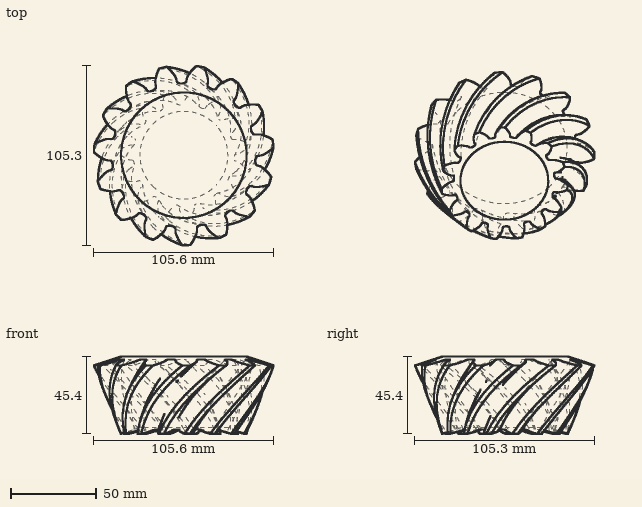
import cadquery as cq
import math

tooth_count = 15
height = 45.4
tip_radius = 52.9
root_radius = 42.3
flat_radius = 36.9
tip_height = 40.1
small_end_scale = 0.7
spiral_angle = 46.6
spiral_bow = 2.0
gap_direction = 91.8

floor_half_width = 1.5
fillet_middle = (2.5, 42.9)
flank_start = (3.0, 44.3)
flank_middle = (5.0, 48.3)
flank_end = (9.1, 52.5)
mouth = (11.6, 54.3)

section_count = 7
overrun = 0.05

cone_drop = height - tip_height
cone_angle = math.atan2(cone_drop, tip_radius - flat_radius)
apex_height = -tip_height * small_end_scale / (1 - small_end_scale)
root_height = height - (root_radius - flat_radius) * math.tan(cone_angle)


def shrink(radius, z):
    """Move an (r, z) point of the large end to the small end."""
    return (radius * small_end_scale, apex_height + (z - apex_height) * small_end_scale)


def make_blank():
    """Body with the tooth tips as its outside and a shallow dished small end."""
    small_flat = shrink(flat_radius, height)
    return (
        cq.Workplane("XZ")
        .moveTo(0, height)
        .lineTo(flat_radius, height)
        .lineTo(tip_radius, tip_height)
        .lineTo(*shrink(tip_radius, tip_height))
        .lineTo(*small_flat)
        .lineTo(0, small_flat[1])
        .close()
        .revolve(360, (0, 0, 0), (0, 1, 0))
    )


def gap_section(scale):
    """Closed gap outline in a plane touching the end cone, at one scale along the tooth."""
    along = (1 - scale) / (1 - small_end_scale)
    twist = spiral_angle * along + 4 * spiral_bow * along * (1 - along)
    direction = math.radians(gap_direction - twist)
    outward = cq.Vector(math.cos(direction), math.sin(direction), 0)
    sideways = cq.Vector(-math.sin(direction), math.cos(direction), 0)
    normal = outward * math.sin(cone_angle) + cq.Vector(0, 0, math.cos(cone_angle))
    origin = outward * (root_radius * scale)
    origin += cq.Vector(0, 0, apex_height + (root_height - apex_height) * scale)

    def place(point, side):
        across, radius = point
        return (side * across * scale, (radius - root_radius) / math.cos(cone_angle) * scale)

    floor_corner = (floor_half_width, root_radius)
    half = [floor_corner, fillet_middle, flank_start, flank_middle, flank_end]
    curve = [place(point, -1) for point in reversed(half)]
    curve += [place(point, 1) for point in half]
    return (
        cq.Workplane(cq.Plane(origin, sideways * -1, normal))
        .moveTo(*curve[0])
        .spline(curve[1:], includeCurrent=True)
        .lineTo(*place(mouth, 1))
        .lineTo(*place(mouth, -1))
        .close()
        .val()
    )


def make_gap_cutter():
    """Twisted, tapering solid that removes one tooth gap."""
    first = small_end_scale - overrun
    step = (1 + overrun - first) / (section_count - 1)
    sections = [gap_section(first + i * step) for i in range(section_count)]
    return cq.Solid.makeLoft(sections)


gap_cutter = make_gap_cutter()
gaps = [gap_cutter.rotate((0, 0, 0), (0, 0, 1), i * 360 / tooth_count) for i in range(tooth_count)]
result = cq.Workplane(make_blank().val().cut(*gaps))